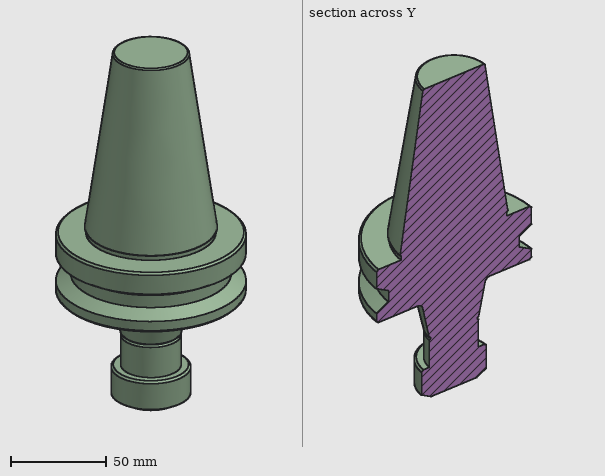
import cadquery as cq
import math

total_length = 201.8
shank_length = 101.7
gauge_radius = 35.0
taper_ratio = 7 / 24
shank_end_chamfer = 0.8

relief_radius = 34.3
relief_chamfer = gauge_radius - relief_radius

flange_radius = 50.0
flange_top = 97.0
flange_bottom = 62.4
flange_chamfer = 1.2
groove_center = 76.9
groove_floor_width = 7.0
groove_radius = 42.4
groove_wall_angle = 30.0

nose_top_radius = 20.8
nose_bottom_radius = 16.1
nose_bottom = 39.4
nose_fillet = 3.0

neck_radius = 16.0
neck_notch_depth = 1.0

nut_radius = 21.0
nut_height = 19.8
nut_top_chamfer = 1.2
nut_tip_radius = 14.7
nut_tip_angle = 30.0

gauge_height = total_length - shank_length
shank_end_radius = gauge_radius - shank_length * taper_ratio / 2
groove_wall_height = (flange_radius - groove_radius) * math.tan(math.radians(groove_wall_angle))
groove_floor_top = groove_center + groove_floor_width / 2
groove_floor_bottom = groove_center - groove_floor_width / 2
nut_tip_height = (nut_radius - nut_tip_radius) * math.tan(math.radians(nut_tip_angle))
notch_height = nose_bottom - neck_notch_depth
neck_shoulder = notch_height - neck_notch_depth


def revolve_outline(points):
    """Close (radius, height) points along the Z axis and revolve them."""
    outline = [(0, points[0][1])] + points + [(0, points[-1][1])]
    return cq.Workplane("XZ").polyline(outline).close().revolve(360, (0, 0), (0, 1))


def make_shank():
    shank = revolve_outline([
        (relief_radius, flange_top),
        (relief_radius, gauge_height - relief_chamfer),
        (gauge_radius, gauge_height),
        (shank_end_radius, total_length),
    ])
    return shank.faces(">Z").chamfer(shank_end_chamfer)


def make_flange():
    flange = revolve_outline([
        (flange_radius, flange_bottom),
        (flange_radius, groove_floor_bottom - groove_wall_height),
        (groove_radius, groove_floor_bottom),
        (groove_radius, groove_floor_top),
        (flange_radius, groove_floor_top + groove_wall_height),
        (flange_radius, flange_top),
    ])
    return flange.faces("<Z or >Z").chamfer(flange_chamfer)


def make_nose_and_neck():
    return revolve_outline([
        (neck_radius, nut_height),
        (neck_radius, neck_shoulder),
        (neck_radius - neck_notch_depth, notch_height),
        (nose_bottom_radius, nose_bottom),
        (nose_top_radius, flange_bottom),
    ])


def make_nut():
    nut = revolve_outline([
        (nut_tip_radius, 0),
        (nut_radius, nut_tip_height),
        (nut_radius, nut_height),
    ])
    return nut.faces(">Z").chamfer(nut_top_chamfer)


def fillet_nose_to_flange(body):
    """Round the inside corner where the nose meets the underside of the flange."""
    margin = 0.2
    corner = cq.selectors.BoxSelector(
        (-nose_top_radius - margin, -nose_top_radius - margin, flange_bottom - margin),
        (nose_top_radius + margin, nose_top_radius + margin, flange_bottom + margin),
        boundingbox=True,
    )
    return body.edges(corner).fillet(nose_fillet)


body = make_nut().union(make_nose_and_neck()).union(make_flange()).union(make_shank())
result = fillet_nose_to_flange(body)